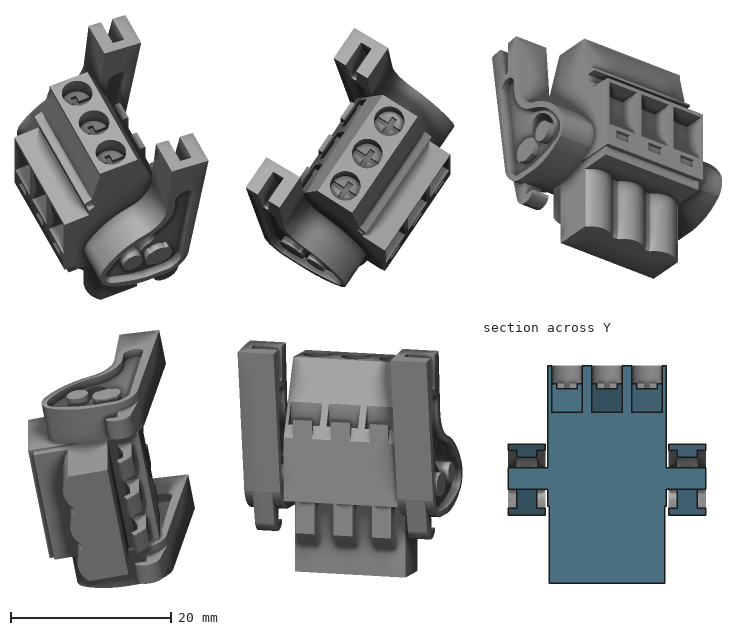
import cadquery as cq
import math


pole_count = 3
pole_pitch = 5.0
pole_positions = [(i - (pole_count - 1) / 2) * pole_pitch for i in range(pole_count)]

housing_width = 14.9
housing_back = 13.97
housing_bottom = 9.6
top_z = 27.18
top_front = 4.85
top_back = 10.03
back_slope_foot_z = 17.62

plug_width = 14.47
plug_back = top_back
step_front = 0.65
step_bottom = 8.38
leg_flat_front = 5.0
leg_front = 4.03
leg_bump_width = 4.32

entry_width = 4.3
entry_bottom = 12.55
entry_top = 18.65
entry_depth = 2.95
test_width = 2.12
test_bottom = 10.9
test_top = 12.03
test_depth = 0.5

back_pocket_width = 4.12
back_pocket_front = 12.2
back_pocket_back = 13.33
back_pocket_floor = 17.35
latch_width = 2.47
latch_head_front = 13.2
latch_head_top = 19.85
latch_head_chamfer = 0.2
latch_front = 11.8
latch_back = 12.92

screw_diameter = 3.82
screw_y = 7.5
screw_recess = 2.27
screw_length = 3.53
screw_top = top_z - screw_recess
cross_depth = 0.6
cross_long_slot_width = 0.6
cross_short_slot_width = 0.76
cross_short_slot_length = 2.47

overall_width = 24.7
lever_width = 4.7
lever_recess_depth = 1.1
lever_web = lever_width - 2 * lever_recess_depth
lever_outer_xs = [-overall_width / 2, overall_width / 2 - lever_width]
slot_depth = 3.53

pivot_y = 10.8
pivot_z = 12.18
pivot_diameter = 3.05
pivot_end = 12.15
lug_diameter = 3.55
lug_height = 2.45
lug_start = overall_width / 2 - lever_recess_depth
guide_y = 7.15
guide_z = 13.1
guide_diameter = 2.7
guide_radius = math.hypot(pivot_y - guide_y, guide_z - pivot_z)
guide_angle = math.degrees(math.atan2(guide_z - pivot_z, guide_y - pivot_y))
guide_sweep = 53.0


def extrude_profile(profile, x_start, width):
    """Extrude a closed YZ profile along +X from x_start."""
    return profile.extrude(width).translate((x_start, 0, 0))


def yz_profile(points):
    return cq.Workplane("YZ").polyline(points).close()


def box(x_size, y_range, z_range, x_centre=0.0):
    """Box centred at x_centre and spanning the given Y and Z ranges."""
    size_y = y_range[1] - y_range[0]
    size_z = z_range[1] - z_range[0]
    corner = (x_centre - x_size / 2, y_range[0], z_range[0])
    return cq.Workplane("XY").box(x_size, size_y, size_z, centered=False).translate(corner)


def x_cylinder(diameter, y, z, x_start, x_end):
    """Cylinder along X between two X positions."""
    circle = cq.Workplane("YZ").center(y, z).circle(diameter / 2)
    return extrude_profile(circle, x_start, x_end - x_start)


def make_housing_block():
    profile = yz_profile([
        (0, housing_bottom),
        (0, 19.15),
        (3.35, 19.27),
        (3.35, 20.18),
        (4.12, 20.62),
        (4.12, 21.6),
        (2.77, 21.6),
        (2.77, 21.92),
        (3.75, 22.4),
        (top_front, 26.65),
        (top_front, top_z),
        (top_back, top_z),
        (housing_back, back_slope_foot_z),
        (housing_back, housing_bottom),
    ])
    return extrude_profile(profile, -housing_width / 2, housing_width)


def make_plug():
    """Stepped plug whose legs have one rounded bump per pole at the front."""
    plug = box(plug_width, (step_front, plug_back), (step_bottom, housing_bottom))
    plug = plug.union(box(plug_width, (leg_flat_front, plug_back), (0, step_bottom)))
    for x in pole_positions:
        bump = (
            cq.Workplane("XY")
            .moveTo(x - leg_bump_width / 2, leg_flat_front)
            .threePointArc((x, leg_front), (x + leg_bump_width / 2, leg_flat_front))
            .close()
            .extrude(step_bottom)
        )
        plug = plug.union(bump)
    return plug


def make_latch_head(x):
    """Block with a chamfered front edge standing in the back pocket."""
    chamfer_back = latch_head_front + latch_head_chamfer
    profile = yz_profile([
        (latch_head_front, back_pocket_floor),
        (latch_head_front, latch_head_top - latch_head_chamfer),
        (chamfer_back, latch_head_top),
        (housing_back, latch_head_top),
        (housing_back, back_pocket_floor),
    ])
    return extrude_profile(profile, x - latch_width / 2, latch_width)


def make_latch_arm(x):
    """Barbed arm hanging from the underside of the housing."""
    profile = yz_profile([
        (latch_back, housing_bottom),
        (latch_back, 5.38),
        (12.42, 4.75),
        (11.41, 3.7),
        (11.03, 4.77),
        (latch_front, 5.45),
        (latch_front, 7.12),
        (11.03, housing_bottom),
    ])
    return extrude_profile(profile, x - latch_width / 2, latch_width)


def make_lever_mount():
    """Pivot with two retaining lugs, and guide pin, on the -X side."""
    root = -housing_width / 2
    pivot = x_cylinder(pivot_diameter, pivot_y, pivot_z, -pivot_end, root)
    lugs = x_cylinder(lug_diameter, pivot_y, pivot_z, -pivot_end, -lug_start)
    lug_band = box(
        overall_width,
        (pivot_y - lug_diameter, pivot_y + lug_diameter),
        (pivot_z - lug_height / 2, pivot_z + lug_height / 2),
    )
    guide_pin = x_cylinder(guide_diameter, guide_y, guide_z, -overall_width / 2, root)
    return pivot.union(lugs.intersect(lug_band)).union(guide_pin)


def make_housing():
    housing = make_housing_block().union(make_plug())
    for x in pole_positions:
        entry = box(entry_width, (0, entry_depth), (entry_bottom, entry_top), x)
        test_opening = box(test_width, (0, test_depth), (test_bottom, test_top), x)
        back_pocket = box(
            back_pocket_width, (back_pocket_front, back_pocket_back), (back_pocket_floor, top_z), x
        )
        housing = housing.cut(entry).cut(test_opening).cut(back_pocket)
        housing = housing.cut(make_screw_blank(x, top_z))
        housing = housing.union(make_latch_head(x)).union(make_latch_arm(x))
    mount = make_lever_mount()
    return housing.union(mount).union(mount.mirror("YZ")).solids()


def make_screw_blank(x, z_end):
    """Cylinder on the screw axis, from the screw's lower end up to z_end."""
    z_start = screw_top - screw_length
    return (
        cq.Workplane("XY", origin=(x, screw_y, z_start))
        .circle(screw_diameter / 2)
        .extrude(z_end - z_start)
    )


def make_screw(x):
    slot_z = (screw_top - cross_depth, screw_top)
    half_long = screw_diameter / 2
    half_short = cross_short_slot_width / 2
    long_slot = box(cross_long_slot_width, (screw_y - half_long, screw_y + half_long), slot_z, x)
    short_slot = box(cross_short_slot_length, (screw_y - half_short, screw_y + half_short), slot_z, x)
    return make_screw_blank(x, screw_top).cut(long_slot).cut(short_slot).solids()


def lever_outline():
    return (
        cq.Workplane("YZ")
        .moveTo(17.53, 28.8)
        .lineTo(12.47, 29.42)
        .lineTo(11.83, 21.75)
        .tangentArcPoint((8.83, 18.1), relative=False)
        .tangentArcPoint((3.15, 14.0), relative=False)
        .threePointArc((2.62, 12.18), (3.27, 10.55))
        .threePointArc((5.6, 9.03), (9.0, 8.25))
        .lineTo(11.92, 8.25)
        .threePointArc((13.4, 8.85), (14.75, 10.77))
        .close()
    )


def lever_recess_outline():
    return (
        cq.Workplane("YZ")
        .moveTo(15.53, 23.25)
        .threePointArc((14.27, 24.12), (12.95, 22.9))
        .lineTo(12.9, 21.77)
        .threePointArc((11.65, 18.85), (9.18, 17.4))
        .threePointArc((6.05, 15.9), (3.65, 13.15))
        .threePointArc((3.3, 12.05), (4.15, 10.5))
        .threePointArc((6.5, 9.6), (9.0, 9.03))
        .lineTo(12.05, 9.03)
        .threePointArc((13.03, 9.5), (13.77, 10.5))
        .close()
    )


def hook_outline():
    """Ejector hook below the lever; its upper part lies inside the lever."""
    return (
        cq.Workplane("YZ")
        .moveTo(14.75, 10.77)
        .lineTo(13.75, 6.55)
        .threePointArc((12.25, 5.4), (10.6, 6.18))
        .lineTo(10.6, 6.65)
        .lineTo(12.05, 6.53)
        .lineTo(12.12, 10.77)
        .close()
    )


def grip_slot_outline():
    """Tapered slot with a rounded bottom; it runs out above the lever top."""
    return (
        cq.Workplane("YZ")
        .moveTo(15.9, 29.7)
        .lineTo(15.0, 25.3)
        .threePointArc((14.55, 24.85), (14.12, 25.3))
        .lineTo(14.18, 29.7)
        .close()
    )


def point_about_pivot(radius, angle):
    """YZ point at a radius and an angle (degrees) about the pivot axis."""
    turn = math.radians(angle)
    return (pivot_y + radius * math.cos(turn), pivot_z + radius * math.sin(turn))


def guide_slot_outline():
    """Arc slot about the pivot, with rounded ends, that clears the guide pin."""
    half_slot = guide_diameter / 2
    inner = guide_radius - half_slot
    outer = guide_radius + half_slot
    start = guide_angle
    end = guide_angle - guide_sweep
    middle = (start + end) / 2
    cap_turn = math.degrees(half_slot / guide_radius)
    return (
        cq.Workplane("YZ")
        .moveTo(*point_about_pivot(inner, start))
        .threePointArc(point_about_pivot(inner, middle), point_about_pivot(inner, end))
        .threePointArc(point_about_pivot(guide_radius, end - cap_turn), point_about_pivot(outer, end))
        .threePointArc(point_about_pivot(outer, middle), point_about_pivot(outer, start))
        .close()
    )


def make_lever(x_outer):
    """Lever reaching from x_outer towards +X, recessed on both faces."""
    x_web = x_outer + lever_recess_depth
    x_far = x_outer + lever_width
    lever = extrude_profile(lever_outline(), x_outer, lever_width)
    for x_recess in (x_outer, x_web + lever_web):
        lever = lever.cut(extrude_profile(lever_recess_outline(), x_recess, lever_recess_depth))
    hook = extrude_profile(hook_outline(), x_web, lever_web)
    lever = lever.union(hook)
    lever = lever.cut(extrude_profile(grip_slot_outline(), x_outer, slot_depth))
    lever = lever.cut(x_cylinder(pivot_diameter, pivot_y, pivot_z, x_outer, x_far))
    lever = lever.cut(x_cylinder(guide_diameter, guide_y, guide_z, x_outer, x_far))
    lever = lever.cut(extrude_profile(guide_slot_outline(), x_outer, lever_width))
    return lever.solids()


housing = make_housing()
screws = [make_screw(x) for x in pole_positions]
levers = [make_lever(x) for x in lever_outer_xs]

result = cq.Compound.makeCompound(
    [housing.val()]
    + [screw.val() for screw in screws]
    + [lever.val() for lever in levers]
)